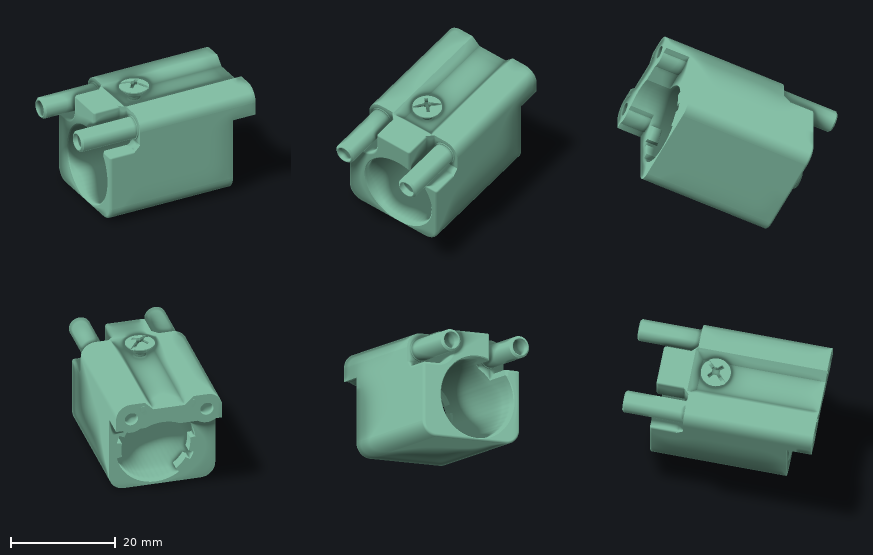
import cadquery as cq
import math

SIDE = 21.0
HALF = SIDE / 2
TOTAL_LENGTH = 37.15
BODY_LENGTH = 31.45
CORNER_RADIUS = 2.9
EDGE_RADIUS = 0.5

MARGIN = 3.7

STEP_Y = 26.55
FLANGE_Z = 15.45
FLANGE_RIB_RADIUS = 2.95

PIN_X = 7.45
PIN_Z = 17.8
PIN_RADIUS = 2.1
PIN_REACH = 5.57
PIN_CHAMFER = 0.37
PIN_COLLAR = 0.22
PIN_MOUTH_RADIUS = 1.6
PIN_HOLE_RADIUS = 1.3

POCKET_DEPTH = 6.45
POCKET_RADIUS = 3.5
POCKET_CHAMFER = 1.0
POCKET_WALL_X = PIN_X - POCKET_RADIUS
POCKET_FLOOR_Z = PIN_Z - POCKET_RADIUS

BORE_X = 1.25
BORE_Z = 8.35
BORE_RADIUS = 7.88
BORE_CHAMFER = 0.2

KEY_RADIUS = 6.85
KEY_ROOT_BEVEL = 0.35
KEY_ANCHOR = 0.22
KEY_LENGTH = 2.23
KEY_SWEEP = 24.0
KEY_ANGLES = (0.0, 36.0, 186.0, 222.5)

GROOVE_HALF_WIDTH = 4.8
GROOVE_DEPTH = 1.67
GROOVE_FRONT_Y = 6.1
GROOVE_CORNER = 0.4

SCREW_Y = 10.8
SCREW_TOP_Z = 22.75
HEAD_RADIUS = 2.85
RIM_TOP_Z = 22.05
RIM_BOTTOM_Z = 21.85
SHANK_RADIUS = 1.2
SHANK_FOOT_FLARE = 0.3
SLOT_WIDTH = 0.7
SLOT_ANGLE = 45.0
SLOT_FLOOR_Z = 21.85
CROSS_FLOOR_Z = 21.47
CROSS_LENGTH_ALONG_SLOT = 2.5
CROSS_LENGTH_ACROSS_SLOT = 3.55
CROSS_CORE_RADIUS = 0.78

REAR_MARKS = ((-4.8, 0.45), (5.25, 0.7))
MARK_Z = 19.7
MARK_HEIGHT = 1.05
MARK_RAISE = TOTAL_LENGTH - PIN_REACH - BODY_LENGTH


def block(x0, x1, y0, y1, z0, z1):
    """Axis-aligned box between two corners."""
    return cq.Workplane("XY").box(x1 - x0, y1 - y0, z1 - z0, centered=False).translate((x0, y0, z0))


def rod(x, z, radius, y0, y1):
    """Cylinder along +Y."""
    return cq.Workplane("XZ", origin=(x, y0, z)).circle(radius).extrude(y0 - y1)


def pocket(side):
    """Cutter that opens an upper corner towards the front, with its rear inner edges bevelled."""
    cutter = block(POCKET_WALL_X, HALF + MARGIN, -MARGIN, POCKET_DEPTH, POCKET_FLOOR_Z, SIDE + MARGIN)
    if side < 0:
        cutter = cutter.edges("|Y and <X and <Z").fillet(POCKET_RADIUS)
    cutter = cutter.faces(">Y").edges().chamfer(POCKET_CHAMFER)
    if side < 0:
        return cutter.mirror("YZ")
    opening = block(POCKET_WALL_X, PIN_X, -MARGIN, POCKET_DEPTH, BORE_Z + EDGE_RADIUS, PIN_Z)
    return cutter.union(opening.edges(">Y and <X").chamfer(POCKET_CHAMFER))


def body():
    """Stepped bar with pockets, before the groove and bore are cut."""
    bar = block(-HALF, HALF, 0, BODY_LENGTH, 0, SIDE).edges("|Y").fillet(CORNER_RADIUS)
    bar = bar.cut(block(-HALF, HALF, STEP_Y, BODY_LENGTH, 0, FLANGE_Z))
    for side in (-1, 1):
        bar = bar.union(rod(side * PIN_X, PIN_Z, FLANGE_RIB_RADIUS, STEP_Y, BODY_LENGTH))
        bar = bar.cut(pocket(side))
    rims = bar.faces("<Y").edges()
    for x, z in ((POCKET_WALL_X, SIDE), (HALF, POCKET_FLOOR_Z)):
        for side in (-1, 1):
            middle = (side * x, POCKET_DEPTH / 2, z)
            rims = rims.add(bar.edges("|Y").edges(cq.selectors.NearestToPointSelector(middle)))
    return rims.fillet(EDGE_RADIUS)


def groove():
    """Tapered cutter, open at the rear, with a ramp and bevelled corners at the front."""
    tip_x = GROOVE_HALF_WIDTH - GROOVE_CORNER
    shoulder_y = GROOVE_FRONT_Y + GROOVE_CORNER
    end_y = BODY_LENGTH + MARGIN
    return (
        cq.Workplane("XY", origin=(0, 0, SIDE))
        .polyline([
            (-GROOVE_HALF_WIDTH, end_y),
            (-GROOVE_HALF_WIDTH, shoulder_y),
            (-tip_x, GROOVE_FRONT_Y),
            (tip_x, GROOVE_FRONT_Y),
            (GROOVE_HALF_WIDTH, shoulder_y),
            (GROOVE_HALF_WIDTH, end_y),
        ])
        .close()
        .extrude(-GROOVE_DEPTH, taper=45)
    )


def bore():
    """Main bore with a chamfered mouth."""
    hole = rod(BORE_X, BORE_Z, BORE_RADIUS, 0, BODY_LENGTH)
    plane = cq.Workplane("XZ", origin=(BORE_X, 0, BORE_Z))
    mouth = plane.circle(BORE_RADIUS + BORE_CHAMFER).extrude(-BORE_CHAMFER, taper=45)
    return hole.union(mouth)


def key(angle):
    """Arc-shaped key at the rear of the bore, centred on the given angle from +X."""
    front_y = STEP_Y - KEY_LENGTH
    root = BORE_RADIUS - KEY_ROOT_BEVEL
    outer = BORE_RADIUS + KEY_ANCHOR
    profile = (
        cq.Workplane("XY")
        .polyline([
            (KEY_RADIUS, front_y),
            (root, front_y),
            (BORE_RADIUS, front_y - KEY_ROOT_BEVEL),
            (outer, front_y - KEY_ROOT_BEVEL),
            (outer, STEP_Y),
            (KEY_RADIUS, STEP_Y),
        ])
        .close()
    )
    sector = profile.revolve(KEY_SWEEP, (0, 0, 0), (0, 1, 0))
    centred = sector.rotate((0, 0, 0), (0, 1, 0), -KEY_SWEEP / 2)
    return centred.rotate((0, 0, 0), (0, 1, 0), -angle).translate((BORE_X, 0, BORE_Z))


def pin(x):
    """Solid pin with a small collar at the pocket wall."""
    shaft = rod(x, PIN_Z, PIN_RADIUS, -PIN_REACH, POCKET_DEPTH).faces("<Y").chamfer(PIN_CHAMFER)
    collar = rod(x, PIN_Z, PIN_RADIUS + PIN_COLLAR, POCKET_DEPTH - PIN_COLLAR, POCKET_DEPTH)
    return shaft.union(collar)


def screw():
    """Domed screw with a slot and a deeper cross, standing on the groove floor."""
    floor_z = SIDE - GROOVE_DEPTH
    cone_z = RIM_BOTTOM_Z - (HEAD_RADIUS - SHANK_RADIUS)
    dome_rise = SCREW_TOP_Z - RIM_TOP_Z
    dome_radius = (HEAD_RADIUS ** 2 + dome_rise ** 2) / (2 * dome_rise)
    mid_r = HEAD_RADIUS / 2
    mid_z = SCREW_TOP_Z - dome_radius + math.sqrt(dome_radius ** 2 - mid_r ** 2)
    head = (
        cq.Workplane("XZ")
        .moveTo(0, floor_z)
        .lineTo(SHANK_RADIUS + SHANK_FOOT_FLARE, floor_z)
        .lineTo(SHANK_RADIUS, floor_z + SHANK_FOOT_FLARE)
        .lineTo(SHANK_RADIUS, cone_z)
        .lineTo(HEAD_RADIUS, RIM_BOTTOM_Z)
        .lineTo(HEAD_RADIUS, RIM_TOP_Z)
        .threePointArc((mid_r, mid_z), (0, SCREW_TOP_Z))
        .close()
        .revolve(360, (0, 0, 0), (0, 1, 0))
    )
    slot_plane = cq.Workplane("XY", origin=(0, 0, SLOT_FLOOR_Z))
    slot = slot_plane.rect(2 * HEAD_RADIUS + MARGIN, SLOT_WIDTH).extrude(MARGIN)
    cross_plane = cq.Workplane("XY", origin=(0, 0, CROSS_FLOOR_Z))
    cross = cross_plane.circle(CROSS_CORE_RADIUS).extrude(MARGIN)
    cross = cross.union(cross_plane.rect(CROSS_LENGTH_ALONG_SLOT, SLOT_WIDTH).extrude(MARGIN))
    cross = cross.union(cross_plane.rect(SLOT_WIDTH, CROSS_LENGTH_ACROSS_SLOT).extrude(MARGIN))
    recess = slot.union(cross).rotate((0, 0, 0), (0, 0, 1), SLOT_ANGLE)
    return head.cut(recess).translate((0, SCREW_Y, 0))


def pin_holes(x):
    """Hole through the body, widened along the length of the pin."""
    through = rod(x, PIN_Z, PIN_HOLE_RADIUS, -PIN_REACH, BODY_LENGTH)
    return through.union(rod(x, PIN_Z, PIN_MOUTH_RADIUS, -PIN_REACH, POCKET_DEPTH))


def rear_mark(x, width):
    """Small raised pad on the rear face."""
    y0 = BODY_LENGTH - MARK_RAISE
    y1 = BODY_LENGTH + MARK_RAISE
    return block(x - width / 2, x + width / 2, y0, y1, MARK_Z - MARK_HEIGHT / 2, MARK_Z + MARK_HEIGHT / 2)


result = body().cut(groove()).cut(bore())
for key_angle in KEY_ANGLES:
    result = result.union(key(key_angle))
for pin_x in (-PIN_X, PIN_X):
    result = result.union(pin(pin_x)).cut(pin_holes(pin_x))
result = result.union(screw())
for mark_x, mark_width in REAR_MARKS:
    result = result.union(rear_mark(mark_x, mark_width))